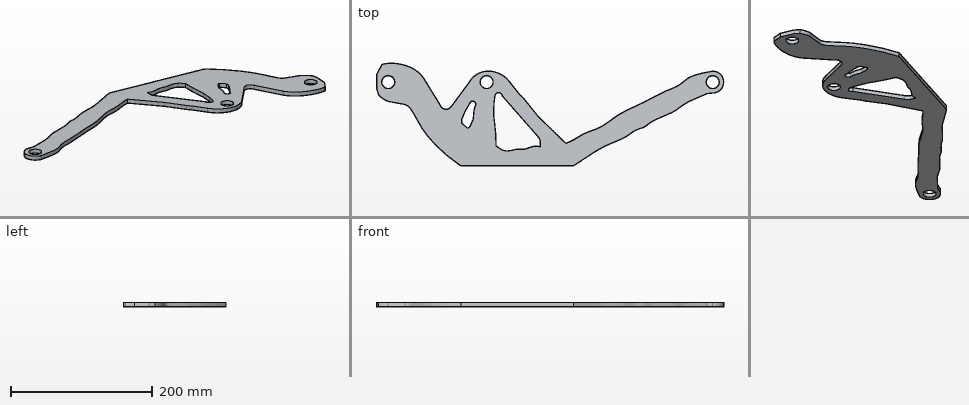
import cadquery as cq

LENGTH = 491.94
WIDTH = 145.78
THICKNESS = 6.3

HOLE_DIAMETER = 18.0
MIDDLE_HOLE_X = 139.5
RIGHT_HOLE_X = 460.0

LEFT_X = -16.3
RIGHT_X = LEFT_X + LENGTH
TOP_Y = 26.9
BOTTOM_Y = TOP_Y - WIDTH

LEFT_EDGE_TOP_Y = 11.1
LEFT_EDGE_BOTTOM_Y = -9.8
HEAD_CORNER = (-13.9, -18.2)

HEAD_TOP_X = 4.5
LUG_RADIUS = RIGHT_X - RIGHT_HOLE_X
PEAK_TOP_Y = 15.6

FOOT_LEFT = (102.9, BOTTOM_Y)
FOOT_RIGHT = (262.5, BOTTOM_Y)
STRUT_CORNER = (251.6, -86.6)


def add_head_top(sketch):
    """Left edge of the head, its chamfered corner and the curve over its top down to the notch."""
    sketch = sketch.lineTo(LEFT_X, LEFT_EDGE_TOP_Y)
    sketch = sketch.lineTo(-9.8, 23.6)
    sketch = sketch.threePointArc((-8.5, 25.0), (-6.3, 25.8))
    over_the_head = [(HEAD_TOP_X, TOP_Y), (20.0, 24.9), (33.0, 20.4), (43.2, 13.6), (50.0, 6.0)]
    sketch = sketch.spline(over_the_head, includeCurrent=True)
    return sketch.lineTo(73.5, -32.0)


def add_notch_and_peak(sketch):
    """Rounded notch, then the peak around the middle hole and the strut down to the arm."""
    sketch = sketch.threePointArc((80.0, -38.2), (89.5, -34.3))
    sketch = sketch.lineTo(115.5, 1.0)
    over_the_peak = [(123.2, 9.5), (MIDDLE_HOLE_X, PEAK_TOP_Y), (155.4, 13.0), (172.1, 0.4)]
    sketch = sketch.spline(over_the_peak, includeCurrent=True)
    sketch = sketch.lineTo(186.9, -18.2)
    sketch = sketch.lineTo(192.5, -23.5)
    sketch = sketch.lineTo(212.8, -48.8)
    return sketch.lineTo(*STRUT_CORNER)


def add_arm(sketch):
    """Gently waved arm, out along its upper edge, around the right lug and back to the foot."""
    upper_edge = [
        (263.0, -81.6),
        (275.9, -73.9),
        (300.0, -64.0),
        (325.0, -47.2),
        (365.0, -27.1),
        (392.0, -13.2),
        (414.0, -2.9),
        (426.0, 6.3),
        (432.5, 9.2),
        (RIGHT_HOLE_X, LUG_RADIUS),
    ]
    lower_edge = [
        (439.0, -22.2),
        (421.4, -30.4),
        (405.7, -41.3),
        (371.4, -57.7),
        (361.2, -64.6),
        (353.7, -67.1),
        (339.0, -76.2),
        (305.5, -91.7),
        (285.1, -104.0),
        FOOT_RIGHT,
    ]
    lug_underside = (RIGHT_HOLE_X, -LUG_RADIUS)
    sketch = sketch.spline(upper_edge, includeCurrent=True)
    sketch = sketch.threePointArc((RIGHT_X, 0), lug_underside)
    sketch = sketch.lineTo(452.0, -16.5)
    return sketch.spline(lower_edge, includeCurrent=True)


def add_lower_left(sketch):
    """Foot, then the sloping lower left edge up to the rounded underside of the head."""
    sketch = sketch.lineTo(*FOOT_LEFT)
    sloping_edge = [(68.2, -90.2), (47.8, -65.4), (34.9, -43.0), (27.8, -34.0), (23.7, -31.9)]
    sketch = sketch.spline(sloping_edge, includeCurrent=True)
    sketch = sketch.lineTo(0.0, -27.6)
    sketch = sketch.threePointArc((-7.5, -23.6), HEAD_CORNER)
    return sketch.close()


def make_plate():
    """Solid plate bounded by the full outer outline."""
    sketch = cq.Workplane("XY").moveTo(*HEAD_CORNER).lineTo(LEFT_X, LEFT_EDGE_BOTTOM_Y)
    sketch = add_head_top(sketch)
    sketch = add_notch_and_peak(sketch)
    sketch = add_arm(sketch)
    sketch = add_lower_left(sketch)
    return sketch.extrude(THICKNESS)


def make_triangle_window():
    """Large triangular opening under the middle hole, with a wavy lower edge."""
    lower_edge = [(202.1, -92.0), (192.5, -95.0), (183.2, -94.9), (173.0, -97.0), (160.9, -95.7)]
    return (
        cq.Workplane("XY")
        .moveTo(151.5, -19.1)
        .threePointArc((154.2, -15.7), (161.5, -19.6))
        .lineTo(211.0, -76.0)
        .threePointArc((214.0, -80.0), (215.4, -84.9))
        .lineTo(215.4, -91.8)
        .spline(lower_edge, includeCurrent=True)
        .lineTo(153.0, -90.5)
        .lineTo(152.5, -72.9)
        .lineTo(149.7, -46.9)
        .lineTo(150.0, -30.2)
        .close()
        .extrude(THICKNESS)
    )


def make_teardrop_window():
    """Small slanted teardrop opening between the notch and the triangular opening."""
    return (
        cq.Workplane("XY")
        .moveTo(115.6, -30.2)
        .threePointArc((120.3, -27.2), (123.2, -33.9))
        .lineTo(121.4, -40.0)
        .lineTo(120.3, -52.5)
        .lineTo(116.4, -61.7)
        .threePointArc((114.5, -64.1), (111.8, -64.9))
        .lineTo(104.4, -58.0)
        .lineTo(104.4, -52.5)
        .lineTo(109.7, -40.4)
        .close()
        .extrude(THICKNESS)
    )


def make_bolt_holes():
    """Cylinders for the three through holes."""
    centers = [(x, 0) for x in (0, MIDDLE_HOLE_X, RIGHT_HOLE_X)]
    return cq.Workplane("XY").pushPoints(centers).circle(HOLE_DIAMETER / 2).extrude(THICKNESS)


plate = make_plate()
result = plate.cut(make_triangle_window()).cut(make_teardrop_window()).cut(make_bolt_holes())